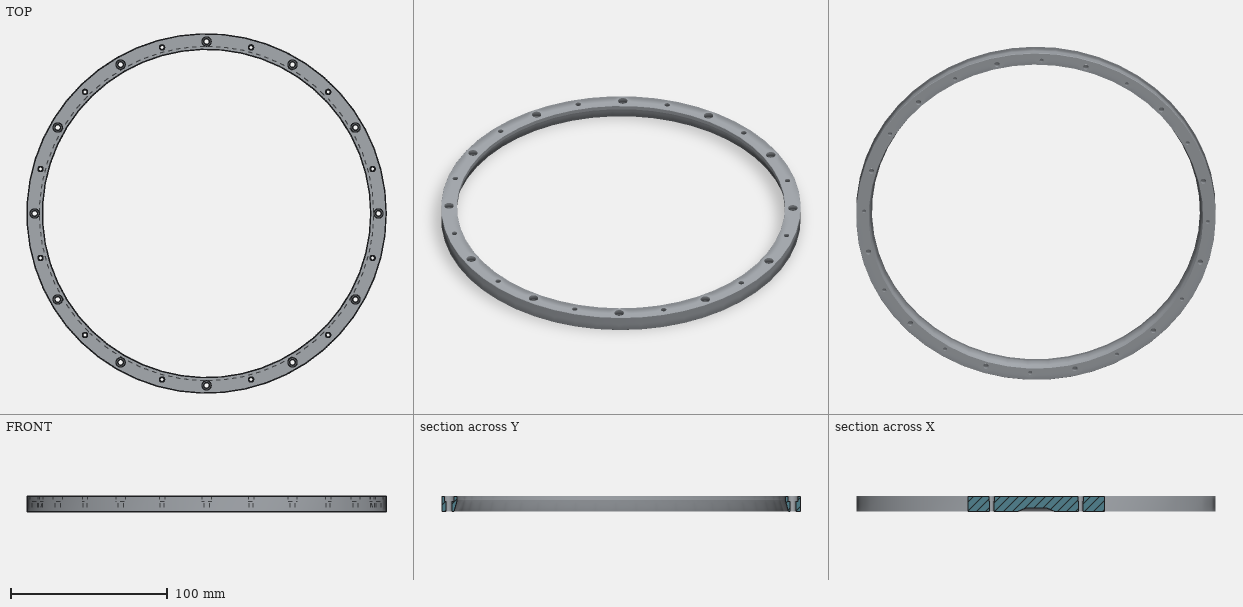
import cadquery as cq

outer_diameter = 229.2
inner_diameter = 209.0
height = 10.0
edge_chamfer = 0.2
land_height = 2.8
bore_flare = 2.0

hole_circle_radius = 109.5
holes_per_set = 12
hole_pitch_angle = 360 / holes_per_set
screw_hole_diameter = 3.5
counterbore_diameter = 6.0
counterbore_depth = 3.5
small_hole_diameter = 2.5
small_hole_mouth_diameter = 3.5
small_hole_mouth_depth = 3.5


def make_ring():
    """Chamfered ring whose bore has a straight land on top and a cone widening below it."""
    outer_radius = outer_diameter / 2
    inner_radius = inner_diameter / 2
    section = (
        cq.Workplane("XZ")
        .moveTo(inner_radius + bore_flare, 0)
        .lineTo(outer_radius - edge_chamfer, 0)
        .lineTo(outer_radius, edge_chamfer)
        .lineTo(outer_radius, height - edge_chamfer)
        .lineTo(outer_radius - edge_chamfer, height)
        .lineTo(inner_radius + edge_chamfer, height)
        .lineTo(inner_radius, height - edge_chamfer)
        .lineTo(inner_radius, height - land_height)
        .close()
    )
    return section.revolve(360, (0, 0, 0), (0, 1, 0))


def hole_positions(body, start_angle):
    """Evenly spaced points on the hole circle, on the top face."""
    top = body.faces(">Z").workplane(origin=(0, 0, height))
    return top.polarArray(hole_circle_radius, start_angle, 360, holes_per_set)


result = make_ring()

result = hole_positions(result, 0).cboreHole(screw_hole_diameter, counterbore_diameter, counterbore_depth)

result = hole_positions(result, hole_pitch_angle / 2).cboreHole(
    small_hole_diameter, small_hole_mouth_diameter, small_hole_mouth_depth
)